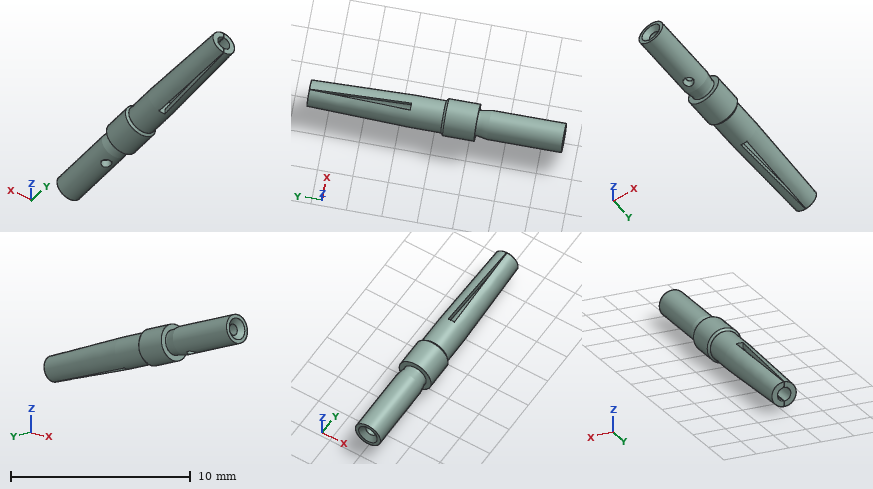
import cadquery as cq

barrel_end = 4.19
neck_start = 4.75
collar_start = 4.9
collar_end = 6.8
fingers_start = 8.65
total_length = 14.4

barrel_diameter = 1.65
neck_diameter = 1.45
collar_diameter = 2.1
body_diameter = 1.83
tip_diameter = 1.5
collar_chamfer = 0.13

mouth_diameter = 1.22
bore_diameter = 0.63
mouth_depth = (mouth_diameter - bore_diameter) / 2
inspection_diameter = 0.6
inspection_position = 3.5
bore_depth = inspection_position + inspection_diameter
drill_tip_length = 0.19

slot_base_width = 0.4
slot_tip_width = 0.03
socket_diameter = 1.15
socket_tip_diameter = socket_diameter - (body_diameter - tip_diameter)


def revolve_about_axis(points):
    """Close a (radius, Y) outline and revolve it about the Y axis."""
    outline = cq.Workplane("XY").polyline(points).close()
    return outline.revolve(360, (0, 0, 0), (0, 1, 0))


def make_body():
    return revolve_about_axis([
        (0, 0),
        (barrel_diameter / 2, 0),
        (barrel_diameter / 2, barrel_end),
        (neck_diameter / 2, neck_start),
        (neck_diameter / 2, collar_start),
        (collar_diameter / 2, collar_start),
        (collar_diameter / 2, collar_end - collar_chamfer),
        (collar_diameter / 2 - collar_chamfer, collar_end),
        (body_diameter / 2, collar_end),
        (body_diameter / 2, fingers_start),
        (tip_diameter / 2, total_length),
        (0, total_length),
    ])


def make_wire_bore():
    return revolve_about_axis([
        (0, 0),
        (mouth_diameter / 2, 0),
        (bore_diameter / 2, mouth_depth),
        (bore_diameter / 2, bore_depth),
        (0, bore_depth + drill_tip_length),
    ])


def make_inspection_hole():
    """Radial hole from the -Z side into the wire bore."""
    return (
        cq.Workplane("XY", origin=(0, inspection_position, 0))
        .circle(inspection_diameter / 2)
        .extrude(-collar_diameter)
    )


def make_socket():
    """Bore that narrows with the fingers, keeping their wall thickness even."""
    return revolve_about_axis([
        (0, fingers_start),
        (socket_diameter / 2, fingers_start),
        (socket_tip_diameter / 2, total_length),
        (0, total_length),
    ])


def make_slot():
    """Slot through the full height, narrowing toward the finger tips."""
    return (
        cq.Workplane("XY")
        .polyline([
            (-slot_base_width / 2, fingers_start),
            (slot_base_width / 2, fingers_start),
            (slot_tip_width / 2, total_length),
            (-slot_tip_width / 2, total_length),
        ])
        .close()
        .extrude(collar_diameter, both=True)
    )


result = (
    make_body()
    .cut(make_wire_bore())
    .cut(make_inspection_hole())
    .cut(make_socket())
    .cut(make_slot())
)